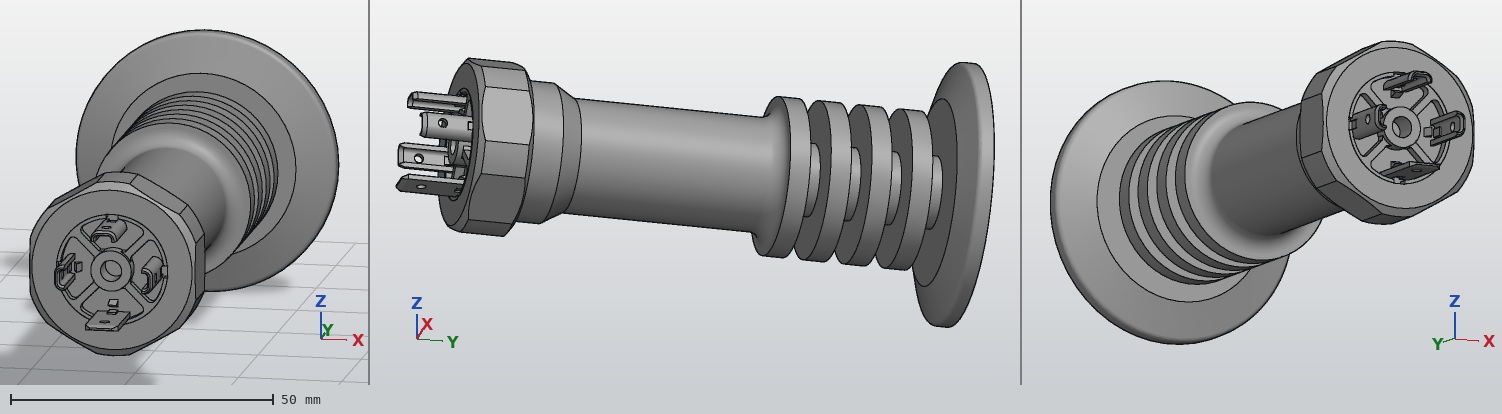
import cadquery as cq
import math


flange_dia = 50.5
flange_thickness = 5.4
flange_apex = 2.8
flange_cone_angle = 20
flange_rim_round = 1.0

stem_dia = 14.0
fin_dia = 30.5
fin_count = 4
fin_thickness = 4.0
first_fin = 9.5
fins_end = 37.5
fin_pitch = (fins_end - fin_thickness - first_fin) / (fin_count - 1)

tube_dia = 22.0
tube_fillet = 3.1
taper_start = 77.5
collar_start = 81.7
collar_dia = 27.0

nut_start = 88.0
nut_end = 98.8
nut_across_flats = 32.0
nut_corner_dia = 33.9
nut_face_dia = 31.0
nut_chamfer = 1.1

insert_dia = 21.5
insert_recess = 0.1
insert_face = nut_end - insert_recess
pocket_outer_radius = 10.1
pocket_inner_flat = 3.5
pocket_depth = 2.0
pocket_corner_round = 1.0
pocket_floor = nut_end - pocket_depth
spoke_width = 1.4
notch_width = 2.3
hub_dia = 7.8
hub_bore_dia = 4.1
hub_bore_depth = 5.0
hub_height = 1.0
hub_end = nut_end + hub_height

sheet = 1.0
contact_outer = 9.5
contact_inner = contact_outer - sheet
contact_embed = 0.5
contact_root = pocket_floor - contact_embed
contact_hole_dia = 1.8
pin_width = 5.0
pin_height = 2.0
pin_corner_round = 1.7
pin_tip_start = 107.4
pin_end = 108.3
pin_tip_bevel = 0.3
pin_hole_station = 104.3
blade_width = 6.3
blade_end = 110.5
blade_tip_length = 1.1
blade_tip_inset = 1.0
blade_tip_bevel = 0.3
blade_hole_station = 106.1

ridge_width = 1.7
ridge_near = 6.2
ridge_far = 7.6
dimple_depth = 0.3
dimple_end = 99.3


def plane_at(station):
    """Cross-section plane at a station: local x is X, local y is Z, extrusions run toward -Y."""
    return cq.Workplane("XZ", origin=(0, -station, 0))


def cylinder(dia, start, end):
    return plane_at(start).circle(dia / 2).extrude(end - start)


def revolved(points):
    """Turn an outline of (radius, station) points around the axis."""
    outline = [(radius, -station) for radius, station in points]
    return cq.Workplane("XY").polyline(outline).close().revolve(360, (0, 0, 0), (0, 1, 0))


def slab(width, near, far, start, end):
    """Box centred on X = 0, between two heights in Z and two stations."""
    return plane_at(start).center(0, (near + far) / 2).rect(width, far - near).extrude(end - start)


def turn(shape, angle):
    return shape.rotate((0, 0, 0), (0, 1, 0), angle)


def make_flange():
    rim = flange_dia / 2
    cone_run = (flange_thickness - flange_apex) / math.tan(math.radians(flange_cone_angle))
    flange = revolved([
        (0, 0),
        (rim, 0),
        (rim, flange_apex),
        (rim - cone_run, flange_thickness),
        (0, flange_thickness),
    ])
    apex_edge = cq.NearestToPointSelector((0, -flange_apex, 0))
    return flange.edges("%CIRCLE").edges(apex_edge).fillet(flange_rim_round)


def make_body():
    body = cylinder(stem_dia, flange_thickness, fins_end)
    for i in range(fin_count):
        start = first_fin + i * fin_pitch
        body = body.union(cylinder(fin_dia, start, start + fin_thickness))

    tube = tube_dia / 2
    fillet_end = fins_end + tube_fillet
    mid_offset = tube_fillet * (1 - math.sqrt(0.5))
    tube_shape = (
        cq.Workplane("XY")
        .moveTo(0, -fins_end)
        .lineTo(tube + tube_fillet, -fins_end)
        .threePointArc((tube + mid_offset, -fins_end - mid_offset), (tube, -fillet_end))
        .lineTo(tube, -taper_start)
        .lineTo(collar_dia / 2, -collar_start)
        .lineTo(collar_dia / 2, -nut_start)
        .lineTo(0, -nut_start)
        .close()
        .revolve(360, (0, 0, 0), (0, 1, 0))
    )
    return body.union(tube_shape)


def make_nut():
    hexagon = (
        plane_at(nut_start)
        .polygon(6, nut_across_flats, circumscribed=True)
        .extrude(nut_end - nut_start)
    )
    turned = revolved([
        (0, nut_start),
        (nut_face_dia / 2, nut_start),
        (nut_corner_dia / 2, nut_start + nut_chamfer),
        (nut_corner_dia / 2, nut_end - nut_chamfer),
        (nut_face_dia / 2, nut_end),
        (0, nut_end),
    ])
    return hexagon.intersect(turned)


def make_pocket():
    """Pocket on the +Z side, bounded by two spokes, the hub flat and the outer arc."""
    half_spoke = spoke_width / 2
    inner_x = pocket_inner_flat - half_spoke * math.sqrt(2)
    along_spoke = math.sqrt(pocket_outer_radius**2 - half_spoke**2)
    outer_x = (along_spoke - half_spoke) / math.sqrt(2)
    outer_z = (along_spoke + half_spoke) / math.sqrt(2)
    pocket = (
        plane_at(pocket_floor)
        .moveTo(-inner_x, pocket_inner_flat)
        .lineTo(-outer_x, outer_z)
        .threePointArc((0, pocket_outer_radius), (outer_x, outer_z))
        .lineTo(inner_x, pocket_inner_flat)
        .close()
        .extrude(pocket_depth)
    )
    pocket = pocket.edges("|Y").edges(">Z").fillet(pocket_corner_round)
    notch = slab(notch_width, contact_outer, insert_dia / 2, pocket_floor, nut_end)
    return pocket.union(notch)


def make_contact_hole(station):
    return (
        cq.Workplane("XY", origin=(0, -station, 0))
        .circle(contact_hole_dia / 2)
        .extrude(insert_dia / 2)
    )


def add_dimple(contact):
    """Press the foot of a contact toward the axis over the ridge width."""
    pressed_outer = contact_outer - dimple_depth
    pressed_inner = contact_inner - dimple_depth
    bulge = slab(ridge_width, pressed_inner, contact_inner, contact_root, dimple_end)
    hollow = slab(ridge_width, pressed_outer, contact_outer, pocket_floor, dimple_end)
    return contact.union(bulge).cut(hollow)


def make_ridge():
    """Ridge on the pocket floor, between the contact and the hub, with a roof-shaped top."""
    outline = [
        (-contact_root, ridge_near),
        (-pocket_floor, ridge_near),
        (-insert_face, (ridge_near + ridge_far) / 2),
        (-pocket_floor, ridge_far),
        (-contact_root, ridge_far),
    ]
    return cq.Workplane("YZ").polyline(outline).close().extrude(ridge_width / 2, both=True)


def arch(plane, half_width, base, top, corner_round):
    """Outline with a straight base and two rounded top corners."""
    return (
        plane.moveTo(-half_width, base)
        .lineTo(-half_width, top - corner_round)
        .radiusArc((-half_width + corner_round, top), corner_round)
        .lineTo(half_width - corner_round, top)
        .radiusArc((half_width, top - corner_round), corner_round)
        .lineTo(half_width, base)
        .close()
    )


def arch_bar(half_width, base, top, corner_round, tip_inset):
    """Bar of arch section whose walls move inward by tip_inset over the pin's tip."""
    def section(plane, inset):
        return arch(plane, half_width - inset, base, top - inset, corner_round - inset)

    shank = section(plane_at(contact_root), 0).extrude(pin_tip_start - contact_root)
    tip = section(plane_at(pin_tip_start), 0).workplane(offset=pin_end - pin_tip_start)
    return shank.union(section(tip, tip_inset).loft(ruled=True))


def make_pin():
    """Channel pin on the +Z side, open toward the axis, with a bevelled tip."""
    leg_end = contact_outer - pin_height
    half = pin_width / 2
    blank = arch_bar(half, leg_end, contact_outer, pin_corner_round, pin_tip_bevel)
    channel = arch_bar(half - sheet, leg_end, contact_inner, pin_corner_round - sheet, -pin_tip_bevel)
    return blank.cut(channel).cut(make_contact_hole(pin_hole_station))


def make_blade():
    """Flat blade on the +Z side with a tip bevelled on all four sides."""
    tip_start = blade_end - blade_tip_length
    shank = slab(blade_width, contact_inner, contact_outer, contact_root, tip_start)
    tip = (
        plane_at(tip_start)
        .center(0, (contact_inner + contact_outer) / 2)
        .rect(blade_width, sheet)
        .workplane(offset=blade_tip_length)
        .rect(blade_width - 2 * blade_tip_inset, sheet - 2 * blade_tip_bevel)
        .loft(ruled=True)
    )
    return shank.union(tip).cut(make_contact_hole(blade_hole_station))


result = make_flange().union(make_body()).union(make_nut())

result = result.cut(cylinder(insert_dia, insert_face, nut_end))
for quarter in range(4):
    result = result.cut(turn(make_pocket(), 90 * quarter))
result = result.union(cylinder(hub_dia, pocket_floor, hub_end))
result = result.cut(cylinder(hub_bore_dia, hub_end - hub_bore_depth, hub_end))

contacts = {90: make_pin(), 0: make_pin(), -90: make_pin(), 180: make_blade()}
for angle, contact in contacts.items():
    contact = add_dimple(contact).union(make_ridge())
    result = result.union(turn(contact, angle))